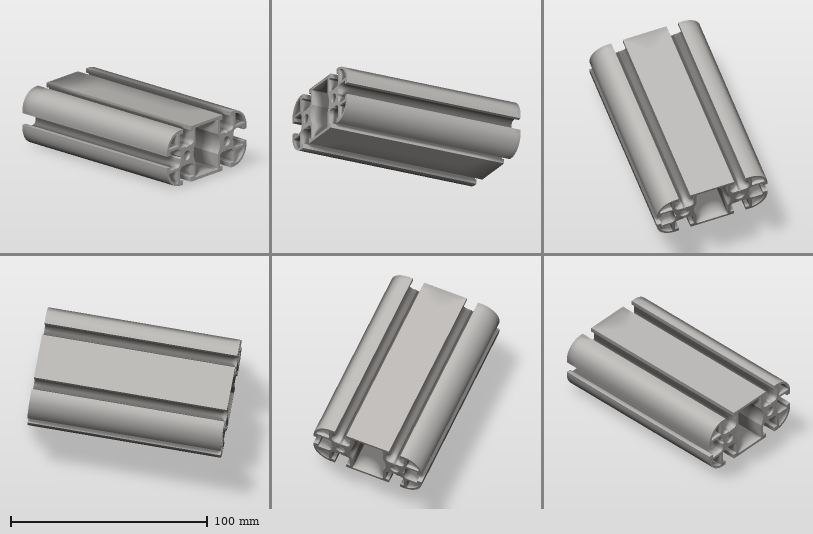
import cadquery as cq

length = 100.0
cell = 30.0
half_cell = cell / 2
corner_radius = 10.0

slot_opening = 6.3
slot_chamber_width = 10.3
slot_lip = 2.5
slot_floor = 5.0
slot_floor_radius = 2.4
slot_roof_radius = 0.3
lip_edge_radius = 0.2
notch_depth = 0.7
notch_width = 1.4

wall = 1.5
corner_wall = 1.3
web = 1.4
core_bore_diameter = 5.1
cavity_bore_radius = 10.0
hollow_edge_radius = 0.4
cavity_edge_radius = 0.5

web_inner = slot_chamber_width / 2 + web
corner_centre = half_cell - corner_radius
sides = (-1, 1)
cell_centres = [(side * half_cell, 0) for side in sides]


def section():
    """Section plane at the -X end; local x is Y and local y is Z."""
    return cq.Workplane("YZ", origin=(-length / 2, 0, 0))


def outer_body():
    """Solid bar with the four long outer edges rounded."""
    return section().rect(2 * cell, cell).extrude(length).edges("|X").fillet(corner_radius)


def slot():
    """T-slot of a cell centred on the X axis, opening toward +Z."""
    chamber_top = half_cell - slot_lip
    chamber_height = chamber_top - slot_floor
    chamber = (
        section()
        .center(0, slot_floor + chamber_height / 2)
        .rect(slot_chamber_width, chamber_height)
        .extrude(length)
        .edges("|X and <Z")
        .fillet(slot_floor_radius)
        .edges("|X and >Z")
        .fillet(slot_roof_radius)
    )
    mouth = (
        section()
        .center(0, chamber_top + slot_lip / 2)
        .rect(slot_opening, slot_lip)
        .extrude(length)
    )
    notch = (
        section()
        .moveTo(-notch_width / 2, slot_floor)
        .lineTo(0, slot_floor - notch_depth)
        .lineTo(notch_width / 2, slot_floor)
        .close()
        .extrude(length)
    )
    reach = slot_opening / 2 + lip_edge_radius
    lip_edges = cq.selectors.BoxSelector(
        (-length, -reach, chamber_top - lip_edge_radius),
        (length, reach, chamber_top + lip_edge_radius),
    )
    opening = chamber.union(mouth).edges("|X").edges(lip_edges).fillet(lip_edge_radius)
    return opening.union(notch)


def corner_hollow():
    """Hollow in the +Y +Z corner of the bar, bounded by two webs and the rounded wall."""
    size = half_cell - web_inner
    middle = web_inner + size / 2
    block = section().center(half_cell + middle, middle).rect(size, size).extrude(length)
    rounded = (
        section()
        .center(half_cell + corner_centre, corner_centre)
        .circle(corner_radius - corner_wall)
        .extrude(length)
    )
    return block.intersect(rounded).edges("|X").fillet(hollow_edge_radius)


def central_cavity():
    """Tall hollow between the two cells, widened by a round bore at mid-height."""
    width = 2 * (half_cell - web_inner)
    box = section().rect(width, cell - 2 * wall).extrude(length)
    bore = section().circle(cavity_bore_radius).extrude(length)
    return box.union(bore).edges("|X").fillet(cavity_edge_radius)


def rotated(shape, angle):
    """Shape turned about the X axis."""
    return shape.rotate((0, 0, 0), (1, 0, 0), angle)


result = outer_body()

for side in sides:
    side_angle = -90 * side
    for angle in (0, 180, side_angle):
        result = result.cut(rotated(slot(), angle).translate((0, side * half_cell, 0)))

upper_hollow = corner_hollow()
for hollow in (upper_hollow, upper_hollow.mirror("XY")):
    result = result.cut(hollow).cut(hollow.mirror("XZ"))

result = result.cut(central_cavity())
result = result.cut(section().pushPoints(cell_centres).circle(core_bore_diameter / 2).extrude(length))